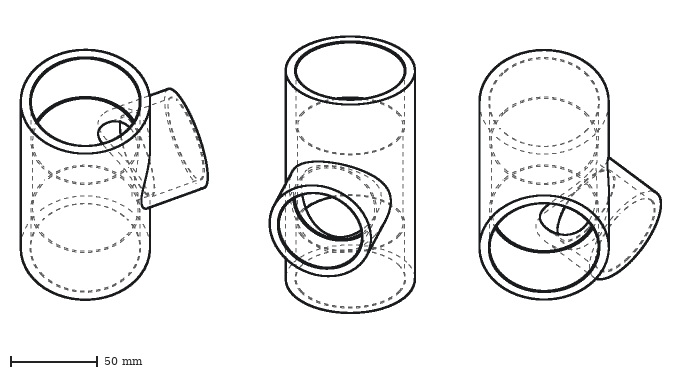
import cadquery as cq

main_length = 142.0
main_diameter = 75.0
main_bore = 61.0
main_socket_diameter = 63.0
main_socket_depth = 37.9

branch_reach = 64.0
branch_diameter = 61.0
branch_bore = 48.0
branch_socket_diameter = 50.0
branch_socket_depth = 31.2

mouth_chamfer = 0.5


def main_cylinder(diameter, start, length):
    """Cylinder along Z, beginning at height start."""
    return cq.Workplane("XY").workplane(offset=start).circle(diameter / 2).extrude(length)


def branch_cylinder(diameter, start, end):
    """Cylinder along +Y, between two distances from the main axis."""
    return cq.Workplane("XZ").workplane(offset=-end).circle(diameter / 2).extrude(end - start)


def chamfer_mouth(body, mouth):
    """Chamfer the inner rim of the ring-shaped end face chosen by a selector such as ">Z"."""
    inner_rim = body.faces(mouth).val().innerWires()[0].Edges()
    return body.newObject(inner_rim).chamfer(mouth_chamfer)


bottom = -main_length / 2
top = main_length / 2
result = main_cylinder(main_diameter, bottom, main_length)
result = result.union(branch_cylinder(branch_diameter, 0, branch_reach))

result = result.cut(main_cylinder(main_bore, bottom, main_length))
result = result.cut(branch_cylinder(branch_bore, 0, branch_reach))

for mouth, socket_start in (("<Z", bottom), (">Z", top - main_socket_depth)):
    result = result.cut(main_cylinder(main_socket_diameter, socket_start, main_socket_depth))
    result = chamfer_mouth(result, mouth)

branch_socket_start = branch_reach - branch_socket_depth
result = result.cut(branch_cylinder(branch_socket_diameter, branch_socket_start, branch_reach))
result = chamfer_mouth(result, ">Y")